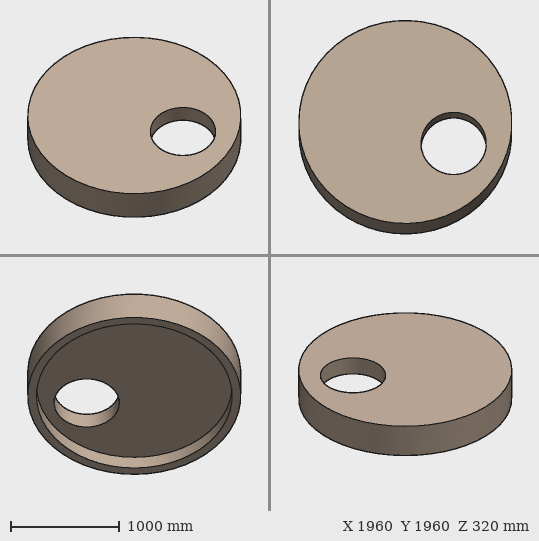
import cadquery as cq

cover_diameter = 1960.0
cover_height = 320.0
plate_thickness = 175.0
recess_diameter = 1800.0
opening_diameter = 600.0
opening_offset = cover_diameter / 4

recess_depth = cover_height - plate_thickness


def cylinder(diameter, height, x=0):
    """Upright cylinder standing on the base plane, with its axis at the given X."""
    return cq.Workplane("XY").center(x, 0).circle(diameter / 2).extrude(height)


cover = cylinder(cover_diameter, cover_height)

recess = cylinder(recess_diameter, recess_depth)

opening = cylinder(opening_diameter, cover_height, opening_offset)

result = cover.cut(recess).cut(opening)